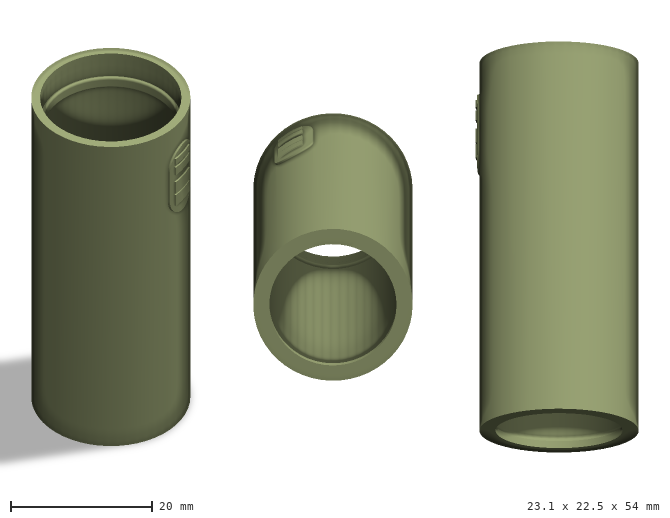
import cadquery as cq

LENGTH = 54.0
OUTER_DIA = 22.5
BORE_DIA = 20.0

BEAD_DIA = 19.0
BEAD_DEPTH = 4.05
BEAD_ROUND = 0.3
BEAD_FLAT = 1.15

LIP_DIA = 18.0
LIP_FLAT = 1.0

BADGE_WIDTH = 6.2
BADGE_HEIGHT = 11.7
BADGE_CENTER_Z = 44.1
BADGE_RAISE = 0.3

PAD_SPANS = [(40.35, 42.3), (42.55, 44.6), (45.85, 47.25), (47.75, 48.75)]
PAD_Y_MIN = -2.2
PAD_Y_MAX = 1.75
PAD_RAISE = 0.25

OUTER_RADIUS = OUTER_DIA / 2
BADGE_RADIUS = OUTER_RADIUS + BADGE_RAISE
PAD_RADIUS = BADGE_RADIUS + PAD_RAISE


def cylinder(radius, bottom, top):
    return cq.Workplane("XY").workplane(offset=bottom).circle(radius).extrude(top - bottom)


def curved_shell(inner_radius, outer_radius):
    """Full-length ring that gives raised features their curved faces."""
    return cylinder(outer_radius, 0, LENGTH).cut(cylinder(inner_radius, 0, LENGTH))


def make_badge():
    slot = (
        cq.Workplane("YZ")
        .center(0, BADGE_CENTER_Z)
        .slot2D(BADGE_HEIGHT, BADGE_WIDTH, 90)
        .extrude(PAD_RADIUS)
    )
    return slot.intersect(curved_shell(BORE_DIA / 2, BADGE_RADIUS))


def make_cavity():
    """Through bore, narrowed by the bead and by the lower lip."""
    bore_radius = BORE_DIA / 2
    bead_radius = BEAD_DIA / 2
    lip_radius = LIP_DIA / 2
    shoulder_radius = bead_radius + BEAD_ROUND
    lip_slope = bore_radius - lip_radius
    bead_top = LENGTH - BEAD_DEPTH
    flat_top = bead_top - BEAD_ROUND
    flat_bottom = flat_top - BEAD_FLAT
    bead_bottom = flat_bottom - BEAD_ROUND
    return (
        cq.Workplane("XZ")
        .lineTo(lip_radius, 0)
        .lineTo(lip_radius, LIP_FLAT)
        .lineTo(bore_radius, LIP_FLAT + lip_slope)
        .lineTo(bore_radius, bead_bottom)
        .lineTo(shoulder_radius, bead_bottom)
        .radiusArc((bead_radius, flat_bottom), BEAD_ROUND)
        .lineTo(bead_radius, flat_top)
        .radiusArc((shoulder_radius, bead_top), BEAD_ROUND)
        .lineTo(bore_radius, bead_top)
        .lineTo(bore_radius, LENGTH)
        .lineTo(0, LENGTH)
        .close()
        .revolve(360, (0, 0, 0), (0, 1, 0))
    )


def make_sleeve():
    blank = cylinder(OUTER_RADIUS, 0, LENGTH).union(make_badge())
    return blank.cut(make_cavity())


def make_pad(bottom, top):
    block = cq.Workplane("XY").box(
        PAD_RADIUS, PAD_Y_MAX - PAD_Y_MIN, top - bottom, centered=False
    ).translate((0, PAD_Y_MIN, bottom))
    return block.intersect(curved_shell(BADGE_RADIUS, PAD_RADIUS))


sleeve = make_sleeve()
pads = [make_pad(bottom, top) for bottom, top in PAD_SPANS]

result = cq.Compound.makeCompound([sleeve.val(), *[pad.val() for pad in pads]])